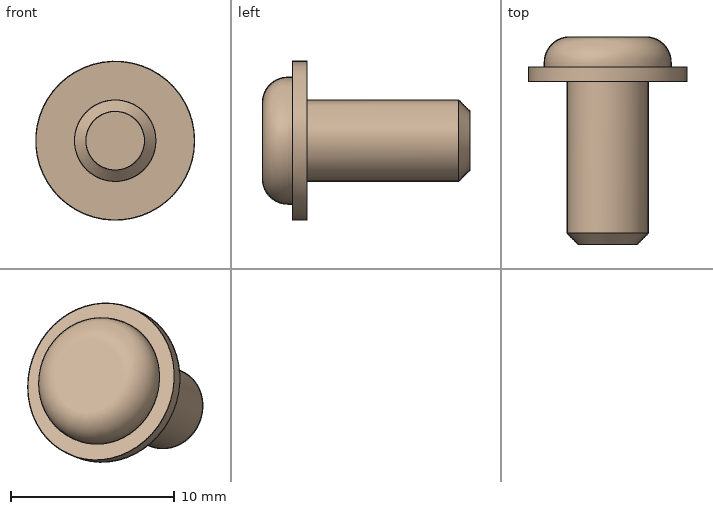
import cadquery as cq

total_length = 12.75
shank_length = 10.0
shank_diameter = 5.0
tip_chamfer = 0.7
flange_diameter = 9.75
flange_thickness = 0.9
head_diameter = 7.8
head_rounding = 1.58

head_height = total_length - shank_length - flange_thickness


def cylinder_along_y(diameter, start_y, length):
    """Solid cylinder centred on the Y axis, growing towards +Y."""
    base = cq.Workplane("XZ", origin=(0, start_y, 0))
    return base.circle(diameter / 2).extrude(-length)


shank = cylinder_along_y(shank_diameter, -shank_length, shank_length)
shank = shank.faces("<Y").chamfer(tip_chamfer)

flange = cylinder_along_y(flange_diameter, 0, flange_thickness)

head = cylinder_along_y(head_diameter, flange_thickness, head_height)
head = head.faces(">Y").edges().fillet(head_rounding)

result = shank.union(flange).union(head)